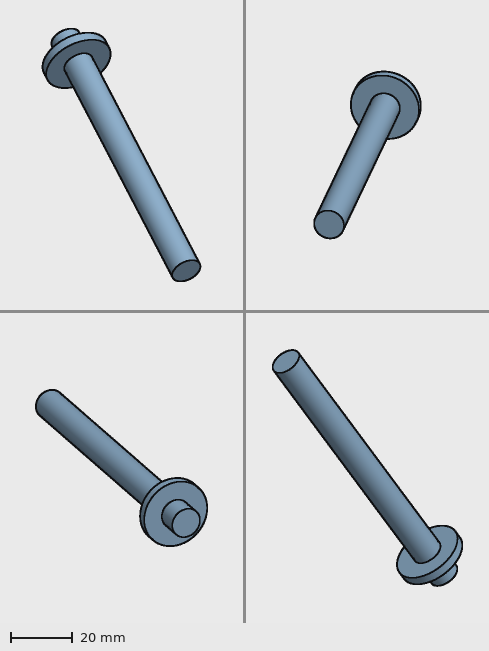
import cadquery as cq

pin_length = 104.8
pin_diameter = 10.0
flange_diameter = 22.6
flange_thickness = 3.2
stub_length = 8.0


def disc(start_x, length, diameter):
    """Solid cylinder along +X, starting at start_x."""
    return cq.Workplane("YZ").workplane(offset=start_x).circle(diameter / 2).extrude(length)


pin = disc(0, pin_length, pin_diameter)
flange = disc(stub_length, flange_thickness, flange_diameter)

result = pin.union(flange)